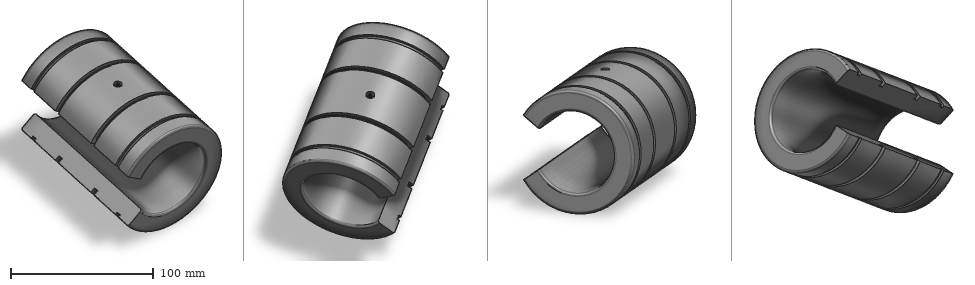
import cadquery as cq
import math

length = 125.0
outer_radius = 45.0
bore_radius = 30.0
rim_round = 1.8

opening_outer_half_height = 23.8
opening_wall_angle = 36.5

outer_groove_width = 3.2
outer_groove_offset = 49.1
outer_groove_depth = 2.0
inner_groove_width = 3.5
inner_groove_offset = 20.8
inner_groove_depth = 4.0

oil_hole_diameter = 6.0

cut_margin = 1.2


def cylinder(radius, width, center_x=0.0):
    """Solid cylinder along X, centred on center_x."""
    start = cq.Workplane("YZ", origin=(center_x - width / 2, 0, 0))
    return start.circle(radius).extrude(width)


def ring_groove(center_x, width, depth):
    """Cutter for a square groove around the outside of the sleeve."""
    ring = cylinder(outer_radius + cut_margin, width, center_x)
    return ring.cut(cylinder(outer_radius - depth, width, center_x))


def opening():
    """Cutter for the lengthwise opening: a wedge with its tip inside the bore."""
    slope = math.tan(math.radians(opening_wall_angle))
    corner_y = -math.sqrt(outer_radius**2 - opening_outer_half_height**2)
    far_y = -2 * outer_radius
    tip_y = corner_y + opening_outer_half_height / slope
    far_half_height = (tip_y - far_y) * slope
    wedge = cq.Workplane("YZ", origin=(-length / 2, 0, 0)).polyline(
        [(tip_y, 0), (far_y, far_half_height), (far_y, -far_half_height)]
    )
    return wedge.close().extrude(length)


sleeve = cylinder(outer_radius, length).cut(cylinder(bore_radius, length))
body = sleeve.faces("<X or >X").edges().fillet(rim_round)

for side in (-1, 1):
    body = body.cut(ring_groove(side * outer_groove_offset, outer_groove_width, outer_groove_depth))
    body = body.cut(ring_groove(side * inner_groove_offset, inner_groove_width, inner_groove_depth))

oil_hole = cq.Workplane("XY").circle(oil_hole_diameter / 2).extrude(outer_radius + cut_margin)

result = body.cut(opening()).cut(oil_hole)